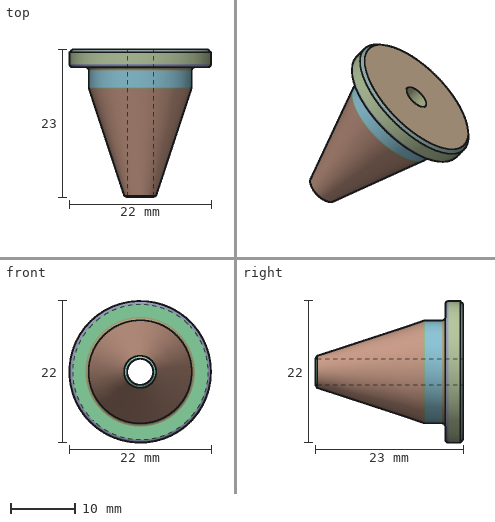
import cadquery as cq
import math

total_length = 23.0
flange_diameter = 22.0
flange_thickness = 2.8
neck_diameter = 16.0
neck_end = 6.0
tip_diameter = 5.0
bore_diameter = 4.0

edge_size = 0.5
tip_chamfer_length = 0.3

flange_radius = flange_diameter / 2
neck_radius = neck_diameter / 2
tip_radius = tip_diameter / 2
bore_radius = bore_diameter / 2

arc_offset = edge_size * (1 - math.sqrt(0.5))

cone_length = total_length - tip_chamfer_length - neck_end
cone_angle = math.atan2(neck_radius - tip_radius, cone_length)
blend_start = edge_size * math.tan(cone_angle / 2) - neck_end


def blend_point(angle):
    """Point on the neck-to-cone round after turning by the given angle."""
    return (
        neck_radius - edge_size * (1 - math.cos(angle)),
        blend_start - edge_size * math.sin(angle),
    )


def make_nozzle():
    """Revolve the wall section, with the flange back face at Y = 0."""
    section = (
        cq.Workplane("XY")
        .moveTo(bore_radius, 0)
        .lineTo(flange_radius - edge_size, 0)
        .lineTo(flange_radius, -edge_size)
        .lineTo(flange_radius, edge_size - flange_thickness)
        .threePointArc(
            (flange_radius - arc_offset, arc_offset - flange_thickness),
            (flange_radius - edge_size, -flange_thickness),
        )
        .lineTo(neck_radius + edge_size, -flange_thickness)
        .threePointArc(
            (neck_radius + arc_offset, -flange_thickness - arc_offset),
            (neck_radius, -flange_thickness - edge_size),
        )
        .lineTo(neck_radius, blend_start)
        .threePointArc(blend_point(cone_angle / 2), blend_point(cone_angle))
        .lineTo(tip_radius, tip_chamfer_length - total_length)
        .lineTo(bore_radius, -total_length)
        .close()
    )
    return section.revolve(360, (0, 0, 0), (0, 1, 0))


result = make_nozzle()